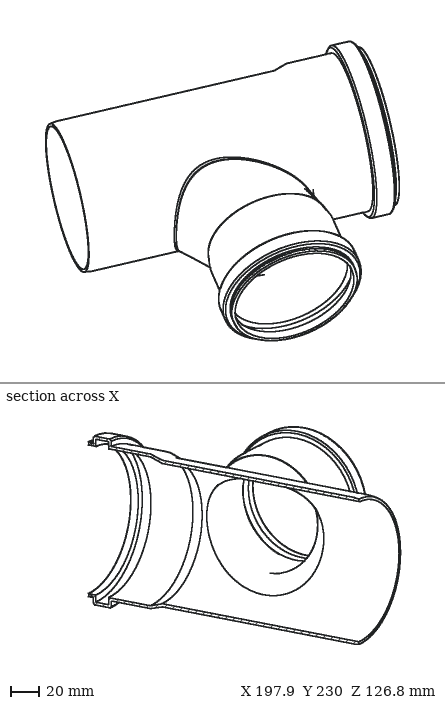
import cadquery as cq
import math

LENGTH = 230.0
PIPE_RADIUS = 110.2 / 2
WALL = 2.8
END_CHAMFER_LENGTH = 4.4
END_CHAMFER_DEPTH = 0.7

MAIN_SOCKET_RADIUS = 116.2 / 2
MAIN_BEAD_RADIUS = 126.8 / 2
BRANCH_SOCKET_RADIUS = 94.8 / 2
BRANCH_BEAD_RADIUS = 104.5 / 2
SOCKET_WALL = 2.5
NECK_DEPTH = 1.0

BRANCH_TILT = 2.5
BRANCH_MOUTH = (132.42, 129.8, 0)
BRANCH_RADIUS = 90.2 / 2
BRANCH_STEP = 0.35

ROOT_TOP_Y = 167.0
ROOT_BOTTOM_Y = 63.5
ROOT_TOP_SLOPE = 0.3
ROOT_BOTTOM_SLOPE = 0.86
ROOT_HALF_WIDTH = 45.3
ROOT_PLANE_X = 23.0

COLLAR_HEIGHT = 1.2
COLLAR_MARGIN = 0.2

MAIN_DEPTH = 62.8
MAIN_CONE_TOP = 53.0
MAIN_BEAD_BOTTOM = 19.8
BRANCH_DEPTH = 57.5
BRANCH_CONE_TOP = 48.3
BRANCH_BEAD_BOTTOM = 16.5
BEAD_TOP = 4.0
LIP_HEIGHT = 2.3
BEAD_CHAMFER = 1.4


def revolve(plane, outline):
    """Turn (radius, height) points about the plane's normal axis."""
    face = cq.Workplane("XZ").polyline(outline).close()
    solid = face.revolve(360, (0, 0, 0), (0, 1, 0)).val()
    return cq.Workplane(solid.located(plane.location))


def socket_outer(plane, radius, bead_radius, base_radius, depth, cone_top, bead_bottom):
    """Flared socket with a bead; the plane sits at the mouth, normal outwards."""
    neck_radius = radius - NECK_DEPTH
    return revolve(plane, [
        (0, -depth),
        (base_radius, -depth),
        (radius, -cone_top),
        (radius, -bead_bottom),
        (bead_radius - BEAD_CHAMFER, -bead_bottom),
        (bead_radius, -bead_bottom + BEAD_CHAMFER),
        (bead_radius, -BEAD_TOP - BEAD_CHAMFER),
        (bead_radius - BEAD_CHAMFER, -BEAD_TOP),
        (radius, -BEAD_TOP),
        (neck_radius, -LIP_HEIGHT),
        (radius, -LIP_HEIGHT),
        (radius, 0),
        (0, 0),
    ])


def socket_bore(plane, radius, bead_radius, base_radius, depth, cone_top, bead_bottom):
    """Space inside a socket, with the seal groove under the bead."""
    bore_radius = radius - SOCKET_WALL
    groove_radius = bead_radius - SOCKET_WALL
    return revolve(plane, [
        (0, -depth),
        (base_radius, -depth),
        (bore_radius, -cone_top),
        (bore_radius, -bead_bottom + SOCKET_WALL),
        (groove_radius, -bead_bottom + SOCKET_WALL),
        (groove_radius, -BEAD_TOP - SOCKET_WALL),
        (bore_radius, -BEAD_TOP - SOCKET_WALL),
        (bore_radius, 0),
        (0, 0),
    ])


def branch_root(inset):
    """Straight-sided blend from the oval in the main pipe to the branch circle."""
    run = PIPE_RADIUS - ROOT_PLANE_X
    top = ROOT_TOP_Y - ROOT_TOP_SLOPE * run - inset
    bottom = ROOT_BOTTOM_Y - ROOT_BOTTOM_SLOPE * run + inset
    center = cq.Vector(ROOT_PLANE_X, (top + bottom) / 2, 0)
    oval = cq.Wire.makeEllipse(
        (top - bottom) / 2, ROOT_HALF_WIDTH - inset,
        center, cq.Vector(1, 0, 0), cq.Vector(0, 1, 0),
    )
    base = branch_plane.toWorldCoords((0, 0, -BRANCH_DEPTH))
    circle = cq.Wire.makeEllipse(
        BRANCH_RADIUS - inset, BRANCH_RADIUS - inset,
        base, branch_plane.zDir, branch_plane.xDir,
    )
    return cq.Workplane(cq.Solid.makeLoft([oval, circle], True))


tilt = math.radians(BRANCH_TILT)
branch_plane = cq.Plane(
    origin=BRANCH_MOUTH,
    xDir=(-math.sin(tilt), math.cos(tilt), 0),
    normal=(math.cos(tilt), math.sin(tilt), 0),
)
pipe_plane = cq.Plane(origin=(0, 0, 0), xDir=(1, 0, 0), normal=(0, 1, 0))
main_plane = cq.Plane(origin=(0, LENGTH, 0), xDir=(1, 0, 0), normal=(0, 1, 0))

main_levels = (MAIN_DEPTH, MAIN_CONE_TOP, MAIN_BEAD_BOTTOM)
branch_levels = (BRANCH_DEPTH, BRANCH_CONE_TOP, BRANCH_BEAD_BOTTOM)
main_sizes = (MAIN_SOCKET_RADIUS, MAIN_BEAD_RADIUS)
branch_sizes = (BRANCH_SOCKET_RADIUS, BRANCH_BEAD_RADIUS)
pipe_bore_radius = PIPE_RADIUS - WALL
branch_bore_radius = BRANCH_RADIUS - WALL
pipe_top = LENGTH - MAIN_DEPTH

pipe = revolve(pipe_plane, [
    (0, 0),
    (PIPE_RADIUS - END_CHAMFER_DEPTH, 0),
    (PIPE_RADIUS, END_CHAMFER_LENGTH),
    (PIPE_RADIUS, pipe_top),
    (0, pipe_top),
])
main_socket = socket_outer(main_plane, *main_sizes, PIPE_RADIUS, *main_levels)
branch_socket = socket_outer(branch_plane, *branch_sizes, BRANCH_RADIUS + BRANCH_STEP, *branch_levels)
collar_sleeve = cq.Workplane(pipe_plane).circle(PIPE_RADIUS + COLLAR_HEIGHT).extrude(LENGTH)
collar = branch_root(-COLLAR_MARGIN).intersect(collar_sleeve)
body = pipe.union(main_socket).union(collar).union(branch_root(0)).union(branch_socket)

pipe_bore = revolve(pipe_plane, [
    (0, 0),
    (pipe_bore_radius, 0),
    (pipe_bore_radius, pipe_top),
    (0, pipe_top),
])
main_bore = socket_bore(main_plane, *main_sizes, pipe_bore_radius, *main_levels)
branch_bore = socket_bore(branch_plane, *branch_sizes, branch_bore_radius, *branch_levels)
result = body.cut(pipe_bore).cut(main_bore).cut(branch_root(WALL)).cut(branch_bore)